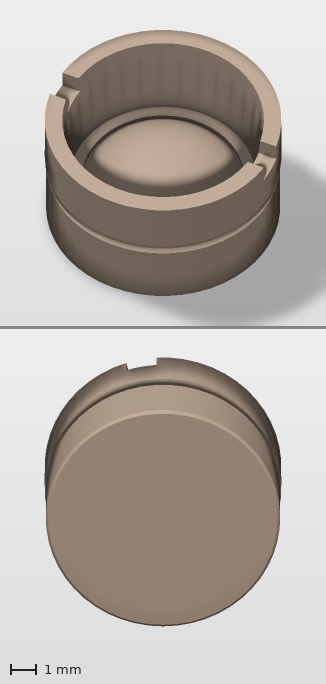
import cadquery as cq

total_height = 5.33
head_radius = 4.62
head_bottom = 3.17
groove_radius = 4.11
base_radius = 4.57
base_height = 2.79
chamfer = 0.11

mouth_radius = 3.94
ledge_outer_radius = 3.61
ledge_depth = 3.45
seat_radius = 3.16
ledge_height = total_height - ledge_depth

slot_width = 1.18
slot_depth = 0.75

lens_edge_height = 1.68
lens_apex_height = 3.3


def cylinder(radius, bottom, top):
    return cq.Workplane("XY").workplane(offset=bottom).circle(radius).extrude(top - bottom)


def make_outside():
    """Chamfered base, narrow groove and wider head on one axis."""
    base = cylinder(base_radius, 0, base_height).faces("<Z or >Z").edges().chamfer(chamfer)
    groove = cylinder(groove_radius, 0, head_bottom)
    head = cylinder(head_radius, head_bottom, total_height)
    return base.union(groove).union(head)


def make_mouth():
    """Conical bore that narrows from the rim down to the ledge."""
    profile = [
        (0, ledge_height),
        (ledge_outer_radius, ledge_height),
        (mouth_radius, total_height),
        (0, total_height),
    ]
    return cq.Workplane("XZ").polyline(profile).close().revolve(360, (0, 0, 0), (0, 1, 0))


def make_spanner_slots():
    """One bar across the full diameter cuts both slots."""
    return cq.Workplane("XY").box(2 * head_radius, slot_width, slot_depth).translate(
        (0, 0, total_height - slot_depth / 2)
    )


def make_housing():
    seat = cylinder(seat_radius, 0, ledge_height)
    return make_outside().cut(make_mouth()).cut(seat).cut(make_spanner_slots())


def make_lens():
    """Plano-convex lens: flat underside, straight edge and spherical dome."""
    sag = lens_apex_height - lens_edge_height
    dome_radius = (seat_radius**2 + sag**2) / (2 * sag)
    dome_center_height = lens_apex_height - dome_radius
    middle_x = seat_radius / 2
    middle_z = dome_center_height + (dome_radius**2 - middle_x**2) ** 0.5
    profile = (
        cq.Workplane("XZ")
        .lineTo(seat_radius, 0)
        .lineTo(seat_radius, lens_edge_height)
        .threePointArc((middle_x, middle_z), (0, lens_apex_height))
        .close()
    )
    return profile.revolve(360, (0, 0, 0), (0, 1, 0))


housing = make_housing()
lens = make_lens()
result = cq.Compound.makeCompound([housing.val(), lens.val()])